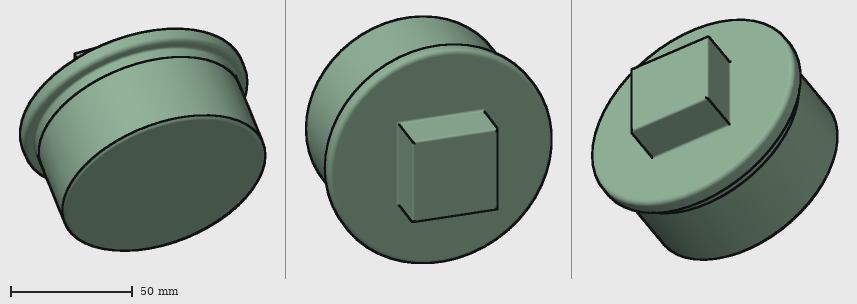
import cadquery as cq
import math

total_length = 62.5
head_length = 18.0
flange_thickness = 7.5
neck_length = 4.85

head_width = 37.0
flange_diameter = 97.0
neck_diameter = 87.7
body_diameter = 87.8

head_round = 1.0
flange_round = 2.0
neck_fillet = 1.0
end_chamfer = 1.3
end_round = 1.0

head_face = -total_length / 2
flange_front = head_face + head_length
flange_back = flange_front + flange_thickness
body_start = flange_back + neck_length
body_end = head_face + total_length


def disc(start, end, diameter):
    """Solid cylinder on the X axis between two axial positions."""
    return cq.Workplane("YZ", origin=(start, 0, 0)).circle(diameter / 2).extrude(end - start)


flange = disc(flange_front, flange_back, flange_diameter).edges().fillet(flange_round)

neck = disc(flange_back, body_start, neck_diameter)
body = disc(body_start, body_end, body_diameter).faces(">X").edges().chamfer(end_chamfer)
body = body.faces(">X").edges().fillet(end_round)

head = (
    cq.Workplane("YZ", origin=(head_face, 0, 0))
    .rect(head_width, head_width)
    .extrude(head_length)
    .faces("<X")
    .edges()
    .fillet(head_round)
)


def head_flare_profile():
    """Concave fillet section standing on the flange against the top side of the head."""
    side = head_width / 2
    middle = head_round * (1 - math.sqrt(0.5))
    return (
        cq.Workplane("XY", origin=(0, 0, -side))
        .moveTo(flange_front, side)
        .lineTo(flange_front, side + head_round)
        .threePointArc((flange_front - middle, side + middle), (flange_front - head_round, side))
        .close()
    )


def head_flare():
    """Fillet around the foot of the head: straight on each side, swung around each corner."""
    side = head_width / 2
    straight = head_flare_profile().extrude(head_width)
    corner = head_flare_profile().revolve(90, (0, side, 0), (-1, side, 0))
    piece = straight.union(corner)
    flare = piece
    for turn in (90, 180, 270):
        flare = flare.union(piece.rotate((0, 0, 0), (1, 0, 0), turn))
    return flare


plug = flange.union(neck).union(body).union(head).union(head_flare())

tolerance = 0.01
reach = neck_diameter / 2 + tolerance
neck_junction = cq.selectors.BoxSelector(
    (flange_back - tolerance, -reach, -reach),
    (flange_back + tolerance, reach, reach),
    boundingbox=True,
)
result = plug.edges(neck_junction).fillet(neck_fillet)